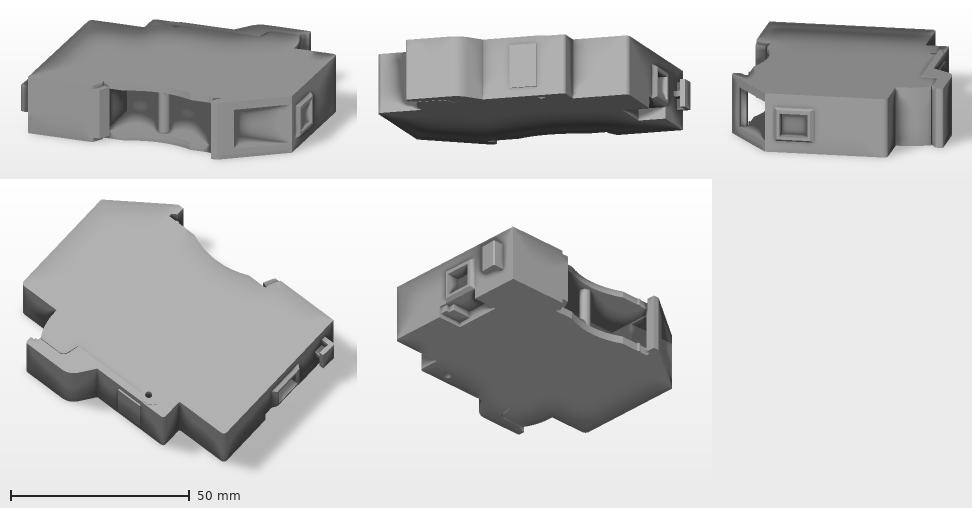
import cadquery as cq

housing_width = 16.95
cover_width = 17.2

housing_length = 74.3
shoulder_y = 47.55
block_left_x = 16.4
block_right_x = 61.3
block_top_y = 54.45
shoulder_radius = 1.3
block_radius = 0.95
block_foot_radius = 0.5
block_right_bulge = (60.6, 53.7)

seat_y = 4.4
seat_left_x = 21.0
seat_right_x = 56.35
relief_start_x = 19.3
relief_y = 3.1
arch_center_x = 37.2
arch_half_span = 9.9
arch_top_y = 6.65
fixed_hook_tip_x = 54.9
fixed_hook_lip_y = 2.5
fixed_hook_root_y = 3.5
slope_start_x = 56.75
slope_end_y = 12.7

latch_hook_z = (1.35, 15.9)
latch_hook_back_x = 21.7
latch_hook_foot_x = 21.4
latch_hook_tip = (23.15, 3.25)
latch_hook_root_y = 3.6

cavity_z = (2.3, 15.0)
cavity_right_x = 58.6
cavity_top_y = 20.6
post_y = 9.4
post_diameter = 3.2

tunnel_z = (2.8, 14.5)
tunnel_bottom_y = 2.85

pip_x = 53.4
pip_half_width = 0.6
pip_depth = 0.3
pip_rise = 0.3

frame_base_y = (15.4, 26.95)
frame_base_z = (3.3, 13.15)
frame_tip_y = (16.2, 25.75)
frame_tip_z = (4.05, 12.6)
frame_height = 1.2
window_y = (17.0, 25.1)
window_z = (4.8, 11.6)
window_depth = 4.05

notch_y = (15.3, 29.6)
notch_depth = 7.9
stop_bottom_z = 1.4
stop_steps = [(0.6, 27.5, notch_y[1]), (1.75, 25.7, 27.5)]

pin_hole_center = (24.4, 51.4)
pin_hole_diameter = 2.0

lid_bottom_y = 52.5
lid_left_x = 20.7
lid_ramp_top = (22.7, 54.0)
joint_bottom_x = 41.6
joint_top_x = 40.65
joint_bend_y = 53.9
lever_top_y = 61.0
lever_tip_x = 61.4
lever_tip_y = 58.9
lever_slope_top_x = 45.5
lever_slope_radius = 5.15
lever_tip_radius = 0.6
grip_right_x = 59.1
grip_y = 57.45
grip_bottom_x = 49.2
grip_curve_start = (50.0, 55.55)
grip_curve_middle = (50.65, 56.8)
grip_curve_end_x = 52.0
grip_teeth = [(59.4, 58.3), (60.0, 58.0), (60.4, 58.9), (60.95, 58.6)]
lever_gap = 0.2

label_foot_x = (24.25, 33.05)
label_foot_y = 53.9
label_x = (24.7, 32.7)
label_z = (2.6, 14.9)
label_top_y = 54.9

tab_z = (4.7, 12.6)
tab_x = -3.7
tab_bottom_y = 3.8
tab_top_y = 8.6
tab_chamfer = 0.4
tab_lean = 0.2
tab_wall_inner_x = -2.4
tab_floor_y = 5.15
web_left_y = 8.3
web_right_y = 8.1
web_thickness = 1.6


def box(x_range, y_range, z_range):
    """Box spanning three coordinate ranges."""
    size = [high - low for low, high in (x_range, y_range, z_range)]
    corner = (x_range[0], y_range[0], z_range[0])
    return cq.Workplane("XY").box(*size, centered=False).translate(corner)


def prism(points, z_range):
    """Polygon in XY extruded over a Z range."""
    height = z_range[1] - z_range[0]
    return cq.Workplane("XY").workplane(offset=z_range[0]).polyline(points).close().extrude(height)


def cylinder(center, radius, z_range):
    """Cylinder along Z over a Z range."""
    height = z_range[1] - z_range[0]
    return cq.Workplane("XY").workplane(offset=z_range[0]).center(*center).circle(radius).extrude(height)


def housing_blank():
    """Side outline of the housing over its full width, with rounded upper corners."""
    blank = (
        cq.Workplane("XY")
        .moveTo(0, 0)
        .lineTo(relief_start_x, 0)
        .lineTo(seat_left_x, relief_y)
        .lineTo(seat_left_x, seat_y)
        .lineTo(arch_center_x - arch_half_span, seat_y)
        .threePointArc((arch_center_x, arch_top_y), (arch_center_x + arch_half_span, seat_y))
        .lineTo(seat_right_x, seat_y)
        .lineTo(seat_right_x, fixed_hook_root_y)
        .lineTo(fixed_hook_tip_x, fixed_hook_lip_y)
        .lineTo(fixed_hook_tip_x, 0)
        .lineTo(slope_start_x, 0)
        .lineTo(housing_length, slope_end_y)
        .lineTo(housing_length, shoulder_y)
        .lineTo(block_right_x, shoulder_y)
        .threePointArc(block_right_bulge, (grip_right_x, grip_y - lever_gap))
        .lineTo(grip_curve_end_x + lever_gap, grip_y - lever_gap)
        .threePointArc(
            (grip_curve_middle[0] + lever_gap, grip_curve_middle[1] - lever_gap),
            (grip_curve_start[0] + lever_gap, grip_curve_start[1] - lever_gap),
        )
        .lineTo(grip_bottom_x + lever_gap, lid_bottom_y)
        .lineTo(lid_left_x, lid_bottom_y)
        .lineTo(*lid_ramp_top)
        .lineTo(label_foot_x[0], lid_ramp_top[1])
        .lineTo(label_foot_x[0], block_top_y)
        .lineTo(block_left_x, block_top_y)
        .lineTo(block_left_x, shoulder_y)
        .lineTo(0, shoulder_y)
        .close()
        .extrude(housing_width)
    )
    middle_z = housing_width / 2
    shoulders = [(0, shoulder_y), (housing_length, shoulder_y)]
    for x, y in shoulders:
        blank = blank.edges(cq.NearestToPointSelector((x, y, middle_z))).fillet(shoulder_radius)
    block_corner = cq.NearestToPointSelector((block_left_x, block_top_y, middle_z))
    blank = blank.edges(block_corner).fillet(block_radius)
    block_foot = cq.NearestToPointSelector((block_left_x, shoulder_y, middle_z))
    return blank.edges(block_foot).fillet(block_foot_radius)


def latch_hook():
    """Hook at the latch side of the rail seat, narrower than the housing."""
    outline = [
        (relief_start_x, 0),
        (latch_hook_foot_x, 0),
        latch_hook_tip,
        (latch_hook_back_x, latch_hook_root_y),
        (latch_hook_back_x, seat_y),
        (seat_left_x, seat_y),
        (seat_left_x, relief_y),
    ]
    return prism(outline, latch_hook_z)


def seat_pip(z_range):
    """Shallow rounded pip standing out of the rail seat."""
    return (
        cq.Workplane("XY")
        .workplane(offset=z_range[0])
        .moveTo(pip_x - pip_half_width, seat_y)
        .threePointArc((pip_x, seat_y - pip_depth), (pip_x + pip_half_width, seat_y))
        .close()
        .extrude(z_range[1] - z_range[0])
    )


def cavity():
    """Space behind the rail seat, and the tunnel out through the sloped face."""
    chamber = box((latch_hook_back_x, cavity_right_x), (seat_y, cavity_top_y), cavity_z)
    tunnel = box((cavity_right_x, housing_length), (tunnel_bottom_y, slope_end_y), tunnel_z)
    return chamber.union(tunnel)


def connector_frame():
    """Tapered frame standing on the X = 0 face."""
    base_size = (frame_base_y[1] - frame_base_y[0], frame_base_z[1] - frame_base_z[0])
    tip_size = (frame_tip_y[1] - frame_tip_y[0], frame_tip_z[1] - frame_tip_z[0])
    base_center = (sum(frame_base_y) / 2, sum(frame_base_z) / 2)
    tip_center = (sum(frame_tip_y) / 2, sum(frame_tip_z) / 2)
    return (
        cq.Workplane("YZ")
        .center(*base_center)
        .rect(*base_size)
        .workplane(offset=-frame_height)
        .center(tip_center[0] - base_center[0], tip_center[1] - base_center[1])
        .rect(*tip_size)
        .loft(ruled=True)
    )


def connector_window():
    """Blind window through the frame into the X = 0 face."""
    return box((-frame_height, window_depth - frame_height), window_y, window_z)


def at_both_ends(shape):
    """The shape at the X = 0 end and its mirror image at the other end."""
    mirrored = shape.mirror("YZ").translate((housing_length, 0, 0))
    return shape, mirrored


def make_housing():
    housing = housing_blank().union(latch_hook()).cut(cavity())
    housing = housing.union(cylinder((arch_center_x, post_y), post_diameter / 2, cavity_z))

    pip_ranges = [(0, cavity_z[0] + pip_rise), (cavity_z[1], housing_width)]
    for z_range in pip_ranges:
        housing = housing.union(seat_pip(z_range))

    for frame in at_both_ends(connector_frame()):
        housing = housing.union(frame)
    for window in at_both_ends(connector_window()):
        housing = housing.cut(window)

    housing = housing.cut(box((0, notch_depth), notch_y, (0, frame_base_z[0])))
    for front_x, low_y, high_y in stop_steps:
        stop = box((front_x, notch_depth), (low_y, high_y), (stop_bottom_z, frame_base_z[0]))
        housing = housing.union(stop)

    return housing.cut(cylinder(pin_hole_center, pin_hole_diameter / 2, (0, housing_width)))


def make_lid():
    """Flat cover strip in the housing top, with a pocket for the label plate."""
    outline = [
        (lid_left_x, lid_bottom_y),
        (joint_bottom_x, lid_bottom_y),
        (joint_top_x, joint_bend_y),
        (joint_top_x, block_top_y),
        (label_foot_x[1], block_top_y),
        (label_foot_x[1], label_foot_y),
        (label_foot_x[0], label_foot_y),
        (label_foot_x[0], lid_ramp_top[1]),
        lid_ramp_top,
    ]
    return prism(outline, (0, cover_width))


def make_label():
    """Label plate: a foot across the lid and a raised face."""
    foot = box(label_foot_x, (label_foot_y, block_top_y), (0, cover_width))
    return foot.union(box(label_x, (block_top_y, label_top_y), label_z))


def make_lever():
    """Curved finger lever that reaches over the housing top."""
    lever = (
        cq.Workplane("XY")
        .moveTo(joint_bottom_x, lid_bottom_y)
        .lineTo(grip_bottom_x, lid_bottom_y)
        .lineTo(*grip_curve_start)
        .threePointArc(grip_curve_middle, (grip_curve_end_x, grip_y))
        .lineTo(grip_right_x, grip_y)
        .polyline(grip_teeth, includeCurrent=True)
        .lineTo(lever_tip_x, lever_tip_y)
        .lineTo(lever_tip_x, lever_top_y)
        .lineTo(lever_slope_top_x, lever_top_y)
        .lineTo(joint_top_x, block_top_y)
        .lineTo(joint_top_x, joint_bend_y)
        .close()
        .extrude(cover_width)
    )
    middle_z = cover_width / 2
    slope_corner = cq.NearestToPointSelector((lever_slope_top_x, lever_top_y, middle_z))
    tip_corner = cq.NearestToPointSelector((lever_tip_x, lever_top_y, middle_z))
    lever = lever.edges(slope_corner).fillet(lever_slope_radius)
    return lever.edges(tip_corner).fillet(lever_tip_radius)


def make_release_tab():
    """L-shaped tab on the X = 0 face, stiffened by a web inside the L."""
    angle = [
        (0, tab_bottom_y),
        (0, tab_floor_y),
        (tab_wall_inner_x, tab_floor_y),
        (tab_wall_inner_x + tab_lean, tab_top_y),
        (tab_x + tab_lean, tab_top_y),
        (tab_x, tab_bottom_y + tab_chamfer),
        (tab_x + tab_chamfer, tab_bottom_y),
    ]
    web_lean = tab_lean * (web_left_y - tab_floor_y) / (tab_top_y - tab_floor_y)
    web = [
        (0, tab_floor_y),
        (0, web_right_y),
        (tab_wall_inner_x + web_lean, web_left_y),
        (tab_wall_inner_x, tab_floor_y),
    ]
    middle_z = sum(tab_z) / 2
    web_z = (middle_z - web_thickness / 2, middle_z + web_thickness / 2)
    return prism(angle, tab_z).union(prism(web, web_z))


housing = make_housing()
lid = make_lid()
label = make_label()
lever = make_lever()
release_tab = make_release_tab()

result = cq.Compound.makeCompound(
    [housing.val(), lid.val(), label.val(), lever.val(), release_tab.val()]
)